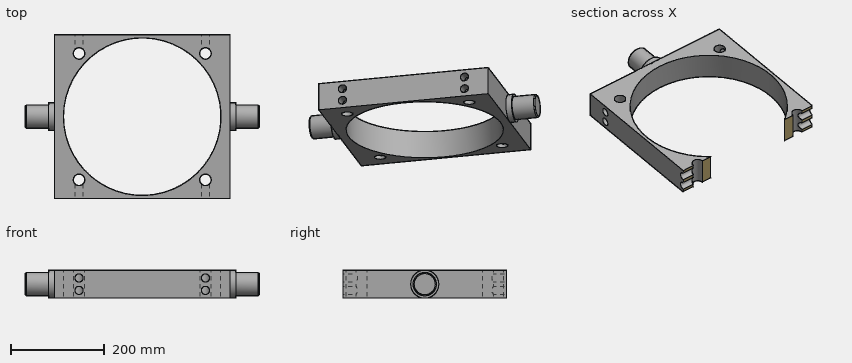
import cadquery as cq

frame_length = 375.0
frame_width = 350.0
frame_height = 60.0
bore_diameter = 336.0

overall_length = 500.0
collar_span = 400.0
collar_diameter = frame_height
pin_diameter = 50.0
pin_chamfer = 2.5

hole_spacing = 270.0
bolt_hole_diameter = 24.0
side_hole_diameter = 17.5
side_hole_pitch = 26.5
side_hole_depth = (frame_width - hole_spacing) / 2


def make_frame():
    """Rectangular block with the large central bore and four through bolt holes."""
    block = cq.Workplane("XY").box(frame_length, frame_width, frame_height)
    block = block.faces(">Z").workplane().hole(bore_diameter)
    return (
        block.faces(">Z")
        .workplane()
        .rect(hole_spacing, hole_spacing, forConstruction=True)
        .vertices()
        .hole(bolt_hole_diameter)
    )


def make_trunnion(side):
    """Collar and chamfered pin standing on the +X (side = 1) or -X (side = -1) face."""
    collar_length = (collar_span - frame_length) / 2
    pin_length = (overall_length - collar_span) / 2
    face_plane = cq.Plane(origin=(side * frame_length / 2, 0, 0), xDir=(0, 1, 0), normal=(side, 0, 0))
    collar = cq.Workplane(face_plane).circle(collar_diameter / 2).extrude(collar_length)
    pin = cq.Workplane(face_plane).workplane(offset=collar_length).circle(pin_diameter / 2).extrude(pin_length)
    pin_end = ">X" if side > 0 else "<X"
    pin = pin.faces(pin_end).chamfer(pin_chamfer)
    return collar.union(pin)


def make_side_holes(side):
    """Hole pairs entering the +Y (side = 1) or -Y (side = -1) face and ending in the bolt holes."""
    face_plane = cq.Plane(origin=(0, side * frame_width / 2, 0), xDir=(1, 0, 0), normal=(0, side, 0))
    return (
        cq.Workplane(face_plane)
        .rect(hole_spacing, side_hole_pitch, forConstruction=True)
        .vertices()
        .circle(side_hole_diameter / 2)
        .extrude(-side_hole_depth)
    )


result = make_frame()
for side in (-1, 1):
    result = result.union(make_trunnion(side))
    result = result.cut(make_side_holes(side))